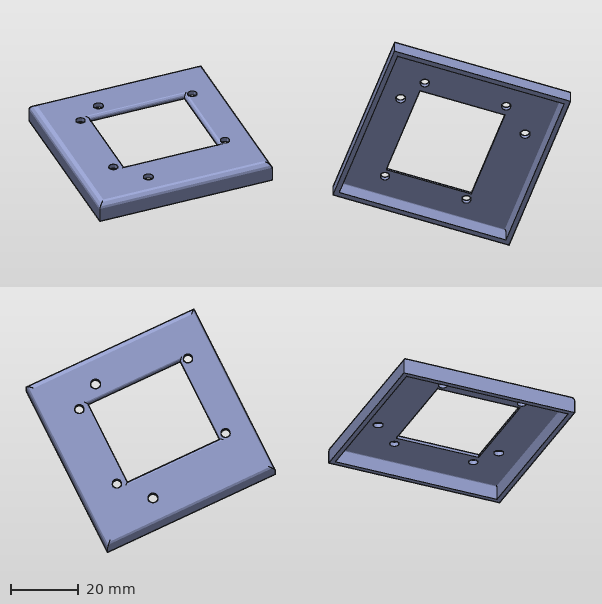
import cadquery as cq

side = 55.0
height = 6.0
edge_radius = 2.0
wall = 1.5

window_x = -1.3
window_y = 1.65
window_width = 26.5
window_length = 30.15
window_radius = 1.0

screw_diameter = 2.7
screw_x = -1.5
screw_y = 1.25
screw_spacing_x = 25.4
screw_spacing_y = 35.6

side_hole_diameter = 2.9
side_hole_x = 0.4
side_hole_y = -8.85
side_hole_spacing = 38.85


def make_shell():
    """Plate with rounded upper edges, hollowed from below to an even wall."""
    plate = cq.Workplane("XY").box(side, side, height, centered=(True, True, False))
    plate = plate.faces(">Z").edges().fillet(edge_radius)
    inner_side = side - 2 * wall
    cavity = cq.Workplane("XY").box(
        inner_side, inner_side, height - wall, centered=(True, True, False)
    )
    cavity = cavity.faces(">Z").edges().fillet(edge_radius - wall)
    return plate.cut(cavity)


def cut_window(body):
    """Cut the window and round its upper rim."""
    cutter = (
        cq.Workplane("XY")
        .center(window_x, window_y)
        .rect(window_width, window_length)
        .extrude(height)
    )
    body = body.cut(cutter)
    half_width = window_width / 2 + window_radius
    half_length = window_length / 2 + window_radius
    rim = cq.selectors.BoxSelector(
        (window_x - half_width, window_y - half_length, height - window_radius / 2),
        (window_x + half_width, window_y + half_length, height + window_radius / 2),
    )
    return body.edges(rim).fillet(window_radius)


def make_holes(diameter, points):
    """Cutter for vertical through holes of one diameter."""
    return cq.Workplane("XY").pushPoints(points).circle(diameter / 2).extrude(height)


screw_points = [
    (screw_x + side_x * screw_spacing_x / 2, screw_y + side_y * screw_spacing_y / 2)
    for side_x in (-1, 1)
    for side_y in (-1, 1)
]
side_points = [
    (side_hole_x + side_x * side_hole_spacing / 2, side_hole_y) for side_x in (-1, 1)
]

result = cut_window(make_shell())
result = result.cut(make_holes(screw_diameter, screw_points))
result = result.cut(make_holes(side_hole_diameter, side_points))